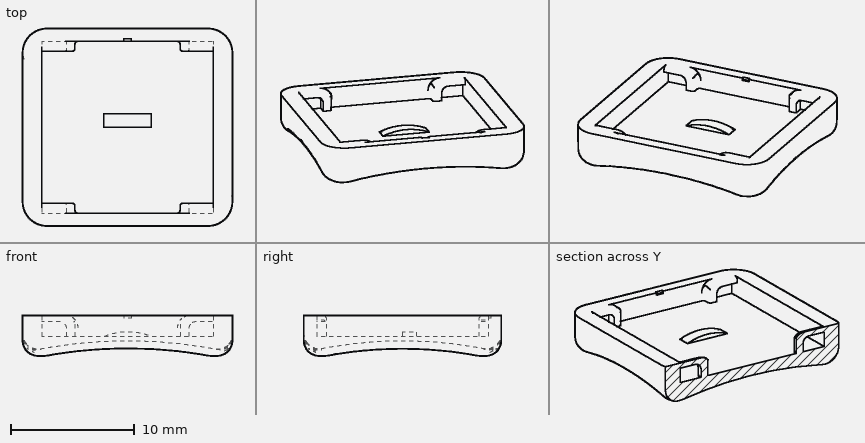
import cadquery as cq
import math

length = 17.0
width = 16.0
blank_height = 6.8
corner_radius = 2.0
dish_radius_x = 37.74
dish_radius_y = 34.0
dish_apex_depth = 2.04
bottom_round = 1.2

tray_half = 6.95
tray_depth = 1.7

rib_end_x = 4.25
rib_face_y = 6.15
rib_blend = 0.22
ramp_start_x = 5.0
ramp_radius = 0.97
lip_round = 0.32
post_width = 0.71
post_straight_height = 0.66
beam_thickness = 0.5

pad_length = 3.88
pad_width = 1.1
pad_rise = 0.39

nick_length = 0.61
nick_reach = 0.19
nick_depth = 0.2


def make_body():
    outline = cq.Workplane("XY").rect(length, width).extrude(-blank_height)
    outline = outline.edges("|Z").fillet(corner_radius)
    dish_sag = dish_radius_y - math.sqrt(dish_radius_y**2 - width**2)
    dish = (
        cq.Workplane("YZ")
        .moveTo(-width, dish_radius_x - dish_sag)
        .threePointArc((0, dish_radius_x), (width, dish_radius_x - dish_sag))
        .lineTo(width, 0)
        .lineTo(-width, 0)
        .close()
        .revolve(360, (0, 0), (1, 0))
        .translate((0, 0, -dish_apex_depth - dish_radius_x))
    )
    shell = outline.cut(dish)
    return shell.faces("<Z").edges().fillet(bottom_round)


def make_tray():
    return cq.Workplane("XY").rect(2 * tray_half, 2 * tray_half).extrude(-tray_depth)


def make_rib():
    """Rib in the +X +Y corner: a post with a ramped end and a beam bridging to the side wall."""
    footprint = (
        cq.Workplane("XY")
        .moveTo(rib_end_x - rib_blend, tray_half)
        .radiusArc((rib_end_x, tray_half - rib_blend), rib_blend)
        .lineTo(rib_end_x, rib_face_y + rib_blend)
        .radiusArc((rib_end_x + rib_blend, rib_face_y), -rib_blend)
        .lineTo(tray_half, rib_face_y)
        .lineTo(tray_half, tray_half)
        .close()
        .extrude(-tray_depth)
    )
    ramp_end_x = ramp_start_x - ramp_radius
    post_side_x = rib_end_x + post_width
    arch_spring_z = post_straight_height - tray_depth
    arch_radius = -beam_thickness - arch_spring_z
    elevation = (
        cq.Workplane("XZ")
        .moveTo(tray_half, 0)
        .lineTo(ramp_start_x, 0)
        .radiusArc((ramp_end_x, -ramp_radius), -ramp_radius)
        .lineTo(ramp_end_x, -tray_depth)
        .lineTo(post_side_x, -tray_depth)
        .lineTo(post_side_x, arch_spring_z)
        .radiusArc((post_side_x + arch_radius, -beam_thickness), arch_radius)
        .lineTo(tray_half, -beam_thickness)
        .close()
        .extrude(rib_face_y - tray_half)
        .translate((0, rib_face_y, 0))
    )
    lip_middle = ((ramp_start_x + tray_half) / 2, rib_face_y, 0)
    beam = elevation.edges(cq.selectors.NearestToPointSelector(lip_middle)).fillet(lip_round)
    return footprint.intersect(beam)


def make_pad():
    half = pad_length / 2
    return (
        cq.Workplane("XZ")
        .moveTo(-half, -tray_depth)
        .threePointArc((0, pad_rise - tray_depth), (half, -tray_depth))
        .close()
        .extrude(-pad_width)
    )


def make_nick():
    nick = cq.Workplane("XY").box(nick_length, nick_reach, nick_depth, centered=(True, False, False))
    return nick.translate((0, tray_half, -nick_depth))


result = make_body().cut(make_tray()).cut(make_nick()).union(make_pad())
rib = make_rib()
for side_rib in (rib, rib.mirror("YZ")):
    result = result.union(side_rib).union(side_rib.mirror("XZ"))